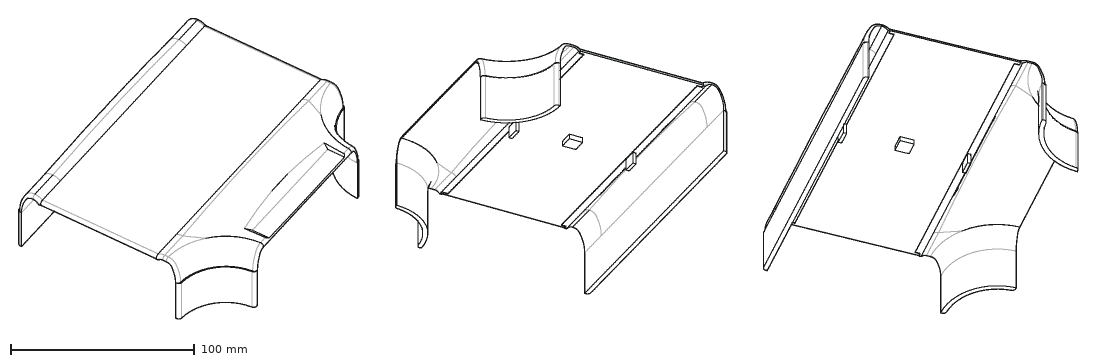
import cadquery as cq
import math

length = 164.5
width = 135.2
half_length = length / 2

skin = 2.3
wall = 2.8
rim_round = 2.0
shoulder_step = 0.7

plate_left = 15.1
plate_right = 90.6
plate_top = 41.0
plate_bottom = plate_top - skin
plate_middle = (plate_left + plate_right) / 2

end_top = 42.8
crown_height = 2.1
crown_half = 62.5
left_wall_top = 26.1
left_peak = 10.2
lip_slope = 1.5
lip_rise = 0.8
foot_reach = 3.0
foot_drop = 0.3
foot_bottom = plate_bottom - foot_drop

branch_top = 42.3
branch_peak = 94.9
branch_crown = 45.0 - branch_top
mouth_crown = 0.2
branch_wall_top = 27.3
corner_radius = 30.1
corner_offset = 0.8
corner_center = width + corner_offset
shoulder_run = 8.7

recess_half = 37.3
recess_start = 117.0
recess_floor_start = 123.8
recess_floor = 41.6
recess_start_height = 43.5
recess_end_slope = 2.0

lug_length = 8.2
pin_width = 2.0
pin_inset = 1.8
pin_bottom = 31.4
tab_width = 8.2
tab_bottom = 35.7

diagonal = math.sqrt(0.5)


def crown_at(y, height):
    """Height of a circular crown, centred at mid-length, above its chord."""
    if abs(y) >= crown_half:
        return 0.0
    radius = (crown_half**2 + height**2) / (2 * height)
    return math.sqrt(radius**2 - y**2) - radius + height


def box(x0, x1, y_size, z0, z1):
    """Box between two X and two Z limits, centred in Y."""
    block = cq.Workplane("XY").box(x1 - x0, y_size, z1 - z0, centered=(False, True, False))
    return block.translate((x0, 0, z0))


def ellipse_middle(start, end):
    """Point halfway along a quarter ellipse that starts vertical and ends horizontal."""
    return (
        end[0] - (end[0] - start[0]) * diagonal,
        start[1] + (end[1] - start[1]) * diagonal,
    )


def shoulder_curve(sketch, start, end):
    """Curve from a vertical start up to a horizontal end."""
    return sketch.spline(
        [ellipse_middle(start, end), end], tangents=[(0, 1), (1, 0)], includeCurrent=True
    )


def round_rim(solid, face, point):
    """Round the edge of one end face that lies nearest the given point."""
    return solid.faces(face).edges(cq.NearestToPointSelector(point)).fillet(rim_round)


def crowned_strip(section, rim_x, rim_z):
    """Full-length strip: a crowned middle between two straight ends with rounded rims.

    The section is given as a function of Y and returns a closed XZ outline.
    The rounded rim edge passes near rim_x, rim_z.
    """
    stations = [-crown_half, -crown_half / 2, 0, crown_half / 2, crown_half]
    middle = cq.Workplane(cq.Solid.makeLoft([section(y).val() for y in stations]))
    end = section(-crown_half).extrude(half_length - crown_half)
    end = round_rim(end, "<Y", (rim_x, -half_length, rim_z))
    return middle.union(end).union(end.mirror("XZ"))


def section_plane(y):
    return cq.Workplane("XZ", origin=(0, y, 0))


def shoulder_section(sketch, face_x, start_z, top_x, top_z):
    """Closed outline of a rounded shoulder between a wall and the top surface."""
    outer_start = (face_x + shoulder_step, start_z)
    inner_start = (face_x + wall, start_z)
    inner_end = (top_x, top_z - skin)
    sketch = shoulder_curve(sketch.moveTo(*outer_start), outer_start, (top_x, top_z))
    return (
        sketch.lineTo(*inner_end)
        .spline(
            [ellipse_middle(inner_start, inner_end), inner_start],
            tangents=[(-1, 0), (0, -1)],
            includeCurrent=True,
        )
        .close()
    )


def left_shoulder():
    def section(y):
        peak = end_top + crown_at(y, crown_height)
        return shoulder_section(section_plane(y), 0, left_wall_top, left_peak, peak)

    rim_x, rim_z = ellipse_middle((shoulder_step, left_wall_top), (left_peak, end_top))
    return crowned_strip(section, rim_x, rim_z)


def lip(root_x, peak_x, base_height, height):
    """S-shaped lip that drops from a ridge peak to the plate, with a foot lapping under the plate."""
    side = math.copysign(1, root_x - peak_x)

    def section(y):
        peak = base_height + crown_at(y, height)
        return (
            section_plane(y)
            .moveTo(peak_x, peak)
            .spline([(root_x, plate_top)], tangents=[(side, 0), (lip_slope * side, -1)], includeCurrent=True)
            .lineTo(root_x, foot_bottom)
            .lineTo(root_x - side * skin / 2, foot_bottom)
            .spline([(peak_x, peak - skin)], tangents=[(-side, lip_rise), (-side, 0)], includeCurrent=True)
            .close()
        )

    strip = crowned_strip(section, (root_x + peak_x) / 2, base_height)
    foot_end = root_x + side * foot_reach
    foot_left = min(root_x, foot_end)
    foot_length = length - 2 * rim_round
    foot = box(foot_left, foot_left + foot_reach, foot_length, foot_bottom, plate_top - skin / 2)
    return strip.union(foot)


def cover_plate():
    plate = box(plate_left, plate_right, length, plate_bottom, plate_top)
    return plate.edges("|X and >Z").fillet(rim_round)


def left_side():
    side_wall = box(0, wall, length, 0, left_wall_top).edges("|Z and <X").fillet(rim_round)
    return side_wall.union(left_shoulder()).union(lip(plate_left, left_peak, end_top, crown_height))


def branch_slab(drop):
    """Solid from the bottom up to the crowned branch top, lowered by drop."""

    def section(x, half, crown):
        return (
            cq.Workplane("YZ", origin=(x, 0, 0))
            .moveTo(-half_length, 0)
            .lineTo(-half_length, branch_top - drop)
            .lineTo(-half, branch_top - drop)
            .threePointArc((0, branch_top + crown - drop), (half, branch_top - drop))
            .lineTo(half_length, branch_top - drop)
            .lineTo(half_length, 0)
            .close()
            .val()
        )

    mouth_half = half_length - corner_radius - shoulder_run
    sections = [section(branch_peak, crown_half, branch_crown), section(width, mouth_half, mouth_crown)]
    return cq.Workplane(cq.Solid.makeLoft(sections, True))


def corner_shell():
    """Wall and rounded shoulder turned around the concave corner at the -Y side."""
    top_radius = corner_radius + shoulder_run
    wall_profile = (
        cq.Workplane("XZ").moveTo(corner_radius, 0).rect(wall, branch_wall_top, centered=False)
    )
    shoulder_profile = shoulder_section(
        cq.Workplane("XZ"), corner_radius, branch_wall_top, top_radius, branch_top
    )
    shoulder_middle = ellipse_middle(
        (corner_radius + shoulder_step, branch_wall_top), (top_radius, branch_top)
    )
    wall_middle = (corner_radius, branch_wall_top / 2)

    def turned(profile, rim):
        ring = profile.revolve(360, (0, 0, 0), (0, 1, 0)).translate((corner_center, -half_length, 0))
        quarter = ring.intersect(box(plate_right, width, length, 0, branch_top))
        radius, height = rim
        quarter = round_rim(quarter, ">X", (width, radius - half_length, height))
        return round_rim(quarter, "<Y", (corner_center - radius, -half_length, height))

    return turned(wall_profile, wall_middle).union(turned(shoulder_profile, shoulder_middle))


def branch():
    slab = branch_slab(0).cut(branch_slab(skin)).faces(">X").edges(">Z").fillet(rim_round)
    slab = slab.faces("<Y").edges(">Z").fillet(rim_round)
    slab = slab.faces(">Y").edges(">Z").fillet(rim_round)
    corner = (
        cq.Workplane("XY")
        .pushPoints([(corner_center, -half_length), (corner_center, half_length)])
        .circle(corner_radius + shoulder_run)
        .extrude(2 * branch_top)
    )
    slab = slab.cut(corner)
    shell = corner_shell()
    body = slab.union(shell).union(shell.mirror("XZ"))
    return body.union(lip(plate_right, branch_peak, branch_top, branch_crown))


def mouth_recess():
    """Cutter with a ramp down to a flat floor and sloping end walls."""
    cutter_top = branch_top + branch_crown
    ramp = (
        cq.Workplane("XZ", origin=(0, half_length, 0))
        .moveTo(recess_start, recess_start_height)
        .lineTo(recess_floor_start, recess_floor)
        .lineTo(width, recess_floor)
        .lineTo(width, cutter_top)
        .lineTo(recess_start, cutter_top)
        .close()
        .extrude(length)
    )
    flare = recess_end_slope * (cutter_top - recess_floor)
    sides = (
        cq.Workplane("YZ")
        .moveTo(-recess_half, recess_floor)
        .lineTo(recess_half, recess_floor)
        .lineTo(recess_half + flare, cutter_top)
        .lineTo(-recess_half - flare, cutter_top)
        .close()
        .extrude(width)
    )
    return ramp.intersect(sides)


def lugs():
    def lug(x, lug_width, bottom):
        return box(x - lug_width / 2, x + lug_width / 2, lug_length, bottom, plate_top - skin / 2)

    return (
        lug(plate_middle, tab_width, tab_bottom)
        .union(lug(plate_left + pin_inset, pin_width, pin_bottom))
        .union(lug(plate_right - pin_inset, pin_width, pin_bottom))
    )


result = cover_plate().union(left_side()).union(branch()).cut(mouth_recess()).union(lugs())